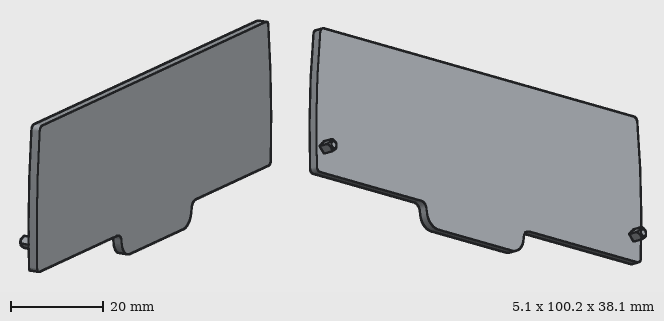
import cadquery as cq
import math

width = 100.2
height = 38.1
thickness = 2.1
top_width = 97.5
widest_height = 15.0
top_corner_radius = 1.2
bottom_corner_radius = 1.0

tab_left = -13.2
tab_right = 15.4
tab_side_angle = 10.0
tab_depth = 5.4
tab_corner_radius = 3.5
tab_root_radius = 1.7

pin_length = 3.0
pin_diagonal = 2.8
pin_tip_chamfer = 0.6
pin_spacing = 95.4
pin_height = 11.2


def make_plate():
    half_width = width / 2
    half_top = top_width / 2
    top_inset = half_width - half_top
    top_rise = height - widest_height
    side_radius = (top_inset**2 + top_rise**2) / (2 * top_inset)
    bottom_drop = widest_height - tab_depth
    half_bottom = half_width - side_radius + math.sqrt(side_radius**2 - bottom_drop**2)
    tab_flare = tab_depth * math.tan(math.radians(tab_side_angle))
    root_left = tab_left - tab_flare
    root_right = tab_right + tab_flare
    plate = (
        cq.Workplane("YZ")
        .moveTo(tab_left, 0)
        .lineTo(tab_right, 0)
        .lineTo(root_right, tab_depth)
        .lineTo(half_bottom, tab_depth)
        .threePointArc((half_width, widest_height), (half_top, height))
        .lineTo(-half_top, height)
        .threePointArc((-half_width, widest_height), (-half_bottom, tab_depth))
        .lineTo(root_left, tab_depth)
        .close()
        .extrude(thickness)
    )
    corners = (
        (-half_top, height, top_corner_radius),
        (half_top, height, top_corner_radius),
        (-half_bottom, tab_depth, bottom_corner_radius),
        (half_bottom, tab_depth, bottom_corner_radius),
        (root_left, tab_depth, tab_root_radius),
        (root_right, tab_depth, tab_root_radius),
        (tab_left, 0, tab_corner_radius),
        (tab_right, 0, tab_corner_radius),
    )
    for y, z, radius in corners:
        corner_edge = cq.selectors.NearestToPointSelector((thickness / 2, y, z))
        plate = plate.edges("|X").edges(corner_edge).fillet(radius)
    return plate


def make_pin(y):
    base = cq.Workplane("YZ").center(y, pin_height)
    square = base.polygon(4, pin_diagonal).extrude(-pin_length)
    round_envelope = (
        base.circle(pin_diagonal / 2)
        .extrude(-pin_length)
        .faces("<X")
        .chamfer(pin_tip_chamfer)
    )
    return square.intersect(round_envelope)


result = make_plate()
for side in (-1, 1):
    result = result.union(make_pin(side * pin_spacing / 2))